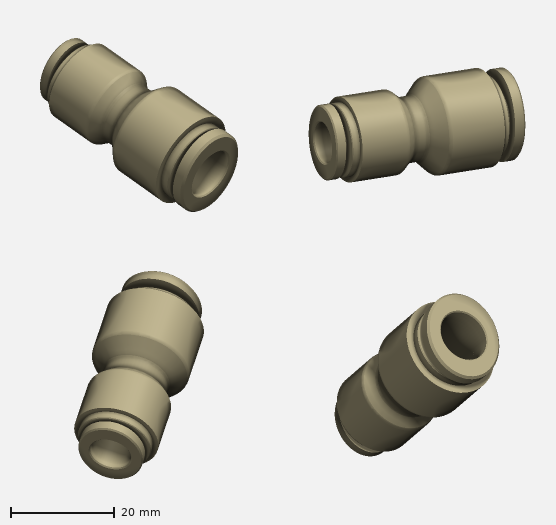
import cadquery as cq

LENGTH = 40.0

BODY_START = 4.6
BODY_END = 34.6
SMALL_BARREL_RADIUS = 16.9 / 2
LARGE_BARREL_RADIUS = 19.5 / 2
WAIST_RADIUS = 13.0 / 2
SMALL_SHOULDER_X = 14.7
WAIST_START_X = 17.05
WAIST_END_X = 19.6
LARGE_SHOULDER_X = 23.05
PROFILE_ROUND = 1.0

SMALL_BORE = 8.2
SMALL_SLEEVE_DIAMETER = 14.7
SMALL_SLEEVE_START = 2.95
SMALL_SLEEVE_CHAMFER = 0.15
SMALL_COLLET_NECK = 9.6
SMALL_FLANGE_WIDTH = 12.9
SMALL_FLANGE_HEIGHT = 15.0
SMALL_FLANGE_THICKNESS = 2.0
SMALL_FLANGE_CHAMFER = 0.3

LARGE_BORE = 10.15
LARGE_SLEEVE_DIAMETER = 16.5
LARGE_SLEEVE_END = 36.4
LARGE_SLEEVE_CHAMFER = 0.2
LARGE_COLLET_NECK = 11.7
LARGE_FLANGE_WIDTH = 16.15
LARGE_FLANGE_HEIGHT = 18.5
LARGE_FLANGE_THICKNESS = 2.4
LARGE_FLANGE_CHAMFER = 0.45

MOUTH_CHAMFER = 0.25


def x_cylinder(diameter, start, end):
    """Cylinder on the X axis from x = start to x = end."""
    return cq.Workplane("YZ", origin=(start, 0, 0)).circle(diameter / 2).extrude(end - start)


def make_body():
    """Revolved shell with a rounded waist and one blind tube bore from each end to the shoulder."""
    profile = [
        (BODY_START, 0),
        (BODY_START, SMALL_BARREL_RADIUS),
        (SMALL_SHOULDER_X, SMALL_BARREL_RADIUS),
        (WAIST_START_X, WAIST_RADIUS),
        (WAIST_END_X, WAIST_RADIUS),
        (LARGE_SHOULDER_X, LARGE_BARREL_RADIUS),
        (BODY_END, LARGE_BARREL_RADIUS),
        (BODY_END, 0),
    ]
    shell = cq.Workplane("XY").polyline(profile).close().revolve(360, (0, 0, 0), (1, 0, 0))
    waist_zone = cq.selectors.BoxSelector(
        (SMALL_SHOULDER_X - PROFILE_ROUND, -LENGTH, -LENGTH),
        (LARGE_SHOULDER_X + PROFILE_ROUND, LENGTH, LENGTH),
    )
    shell = shell.edges("%CIRCLE").edges(waist_zone).fillet(PROFILE_ROUND)
    small_bore = x_cylinder(SMALL_BORE, BODY_START, SMALL_SHOULDER_X)
    large_bore = x_cylinder(LARGE_BORE, LARGE_SHOULDER_X, BODY_END)
    return shell.cut(small_bore).cut(large_bore)


def make_sleeve(diameter, bore, start, end, chamfer):
    """Ring with its outer edge at x = start chamfered."""
    ring = x_cylinder(diameter, start, end).faces("<X").edges().chamfer(chamfer)
    return ring.cut(x_cylinder(bore, start, end))


def make_collet(width, height, thickness, flange_chamfer, neck, bore, length):
    """Elliptical flange with its outer face at x = 0, on a round neck reaching x = length."""
    flange = cq.Workplane("YZ").ellipse(width / 2, height / 2).extrude(thickness)
    flange = flange.faces("<X").edges().chamfer(flange_chamfer)
    collet = flange.union(x_cylinder(neck, thickness, length)).cut(x_cylinder(bore, 0, length))
    return collet.faces("<X").edges("%CIRCLE").chamfer(MOUTH_CHAMFER)


def at_far_end(part):
    """Turn a part built for the -X end round to the +X end."""
    return part.rotate((0, 0, 0), (0, 0, 1), 180).translate((LENGTH, 0, 0))


body = make_body()

small_sleeve = make_sleeve(
    SMALL_SLEEVE_DIAMETER, SMALL_BORE, SMALL_SLEEVE_START, BODY_START, SMALL_SLEEVE_CHAMFER
)
large_sleeve = at_far_end(
    make_sleeve(
        LARGE_SLEEVE_DIAMETER,
        LARGE_BORE,
        LENGTH - LARGE_SLEEVE_END,
        LENGTH - BODY_END,
        LARGE_SLEEVE_CHAMFER,
    )
)

small_collet = make_collet(
    SMALL_FLANGE_WIDTH,
    SMALL_FLANGE_HEIGHT,
    SMALL_FLANGE_THICKNESS,
    SMALL_FLANGE_CHAMFER,
    SMALL_COLLET_NECK,
    SMALL_BORE,
    SMALL_SLEEVE_START,
)
large_collet = at_far_end(
    make_collet(
        LARGE_FLANGE_WIDTH,
        LARGE_FLANGE_HEIGHT,
        LARGE_FLANGE_THICKNESS,
        LARGE_FLANGE_CHAMFER,
        LARGE_COLLET_NECK,
        LARGE_BORE,
        LENGTH - LARGE_SLEEVE_END,
    )
)

result = cq.Compound.makeCompound(
    [body.val(), small_sleeve.val(), large_sleeve.val(), small_collet.val(), large_collet.val()]
)